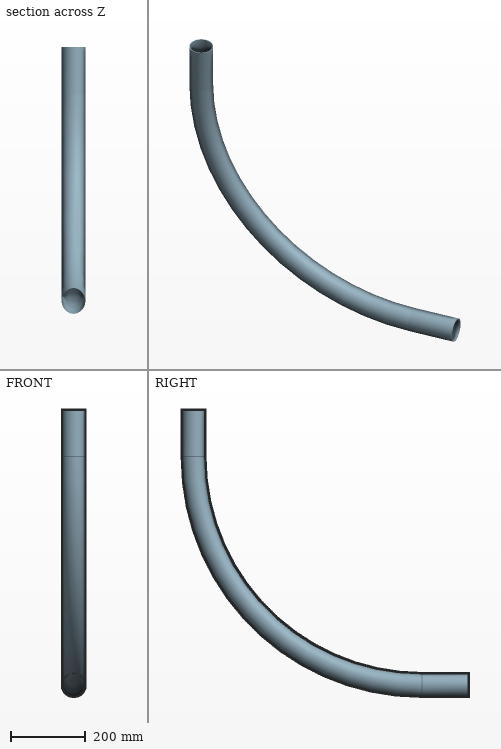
import cadquery as cq

overall_size = 768.0
outer_diameter = 64.0
inner_diameter = 60.0
straight_length = 126.0

bend_radius = overall_size - straight_length - outer_diameter / 2


def elbow_rod(diameter):
    """Solid round rod: vertical leg, quarter bend, then a leg along +Y."""
    bend_start = (-bend_radius, 0)
    bend_end = (0, -bend_radius)
    centreline = (
        cq.Workplane("YZ")
        .moveTo(-bend_radius, straight_length)
        .lineTo(*bend_start)
        .radiusArc(bend_end, -bend_radius)
        .lineTo(straight_length, -bend_radius)
    )
    return (
        cq.Workplane("XY", origin=(0, -bend_radius, straight_length))
        .circle(diameter / 2)
        .sweep(centreline)
    )


result = elbow_rod(outer_diameter).cut(elbow_rod(inner_diameter))